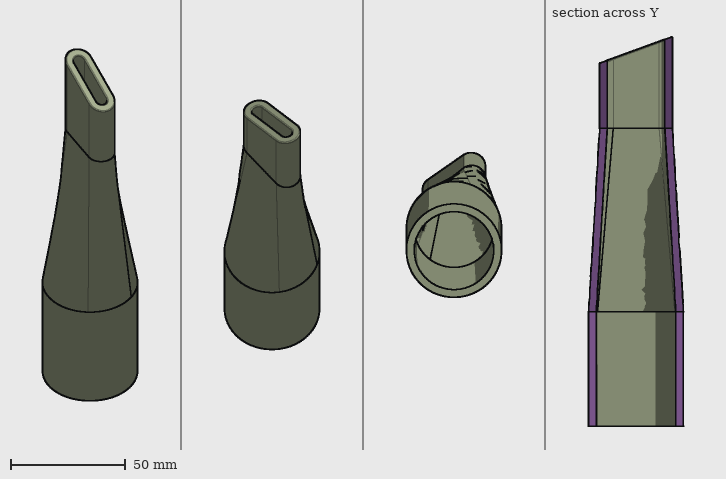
import cadquery as cq
import math

socket_diameter = 41.6
bore_diameter = 34.6
socket_height = 50.1
wall = (socket_diameter - bore_diameter) / 2

transition_height = 80.0
nozzle_base = socket_height + transition_height

nozzle_width = 32.0
nozzle_thickness = 12.0
mouth_rounding = 0.5
mouth_slope = math.radians(20)
mouth_drop = nozzle_width * math.tan(mouth_slope)
finished_height = 169.8
peak_loss = mouth_rounding * (math.tan(mouth_slope) + 1 / math.cos(mouth_slope) - 1)
peak_height = finished_height + peak_loss
nozzle_height = peak_height - nozzle_base
slot_width = nozzle_width - 2 * wall
slot_thickness = nozzle_thickness - 2 * wall


def make_socket():
    """Straight round tube that takes the hose."""
    return (
        cq.Workplane("XY")
        .circle(socket_diameter / 2)
        .circle(bore_diameter / 2)
        .extrude(socket_height)
    )


def round_to_slot(diameter, width, thickness):
    """Solid loft from a circle to a slot, with seams in line with the corners of the slot."""
    radius = diameter / 2
    seam_angle = math.atan2(thickness, width - thickness)
    seam_x = radius * math.cos(seam_angle)
    seam_y = radius * math.sin(seam_angle)
    end_x = (width - thickness) / 2
    end_y = thickness / 2
    return (
        cq.Workplane("XY")
        .workplane(offset=socket_height)
        .moveTo(-seam_x, -seam_y)
        .threePointArc((0, -radius), (seam_x, -seam_y))
        .threePointArc((radius, 0), (seam_x, seam_y))
        .threePointArc((0, radius), (-seam_x, seam_y))
        .threePointArc((-radius, 0), (-seam_x, -seam_y))
        .close()
        .workplane(offset=transition_height)
        .moveTo(-end_x, -end_y)
        .lineTo(end_x, -end_y)
        .threePointArc((width / 2, 0), (end_x, end_y))
        .lineTo(-end_x, end_y)
        .threePointArc((-width / 2, 0), (-end_x, -end_y))
        .close()
        .loft(ruled=True)
    )


def make_transition():
    """Hollow taper that joins the round socket to the flat nozzle."""
    outside = round_to_slot(socket_diameter, nozzle_width, nozzle_thickness)
    passage = round_to_slot(bore_diameter, slot_width, slot_thickness)
    return outside.cut(passage)


def make_nozzle():
    """Flat tube with rounded ends, cut at a slant so that the -X end is the highest."""
    tube = (
        cq.Workplane("XY")
        .workplane(offset=nozzle_base)
        .slot2D(nozzle_width, nozzle_thickness)
        .slot2D(slot_width, slot_thickness)
        .extrude(nozzle_height)
    )
    above_mouth = (
        cq.Workplane("XZ")
        .moveTo(-nozzle_width / 2, peak_height)
        .lineTo(nozzle_width / 2, peak_height)
        .lineTo(nozzle_width / 2, peak_height - mouth_drop)
        .close()
        .extrude(nozzle_thickness, both=True)
    )
    slanted_tube = tube.cut(above_mouth)
    mouth_direction = cq.Vector(math.sin(mouth_slope), 0, math.cos(mouth_slope))
    mouth_edges = slanted_tube.faces(cq.selectors.ParallelDirSelector(mouth_direction)).edges()
    return mouth_edges.fillet(mouth_rounding)


socket = make_socket()
transition = make_transition()
nozzle = make_nozzle()

result = cq.Compound.makeCompound([socket.val(), transition.val(), nozzle.val()])